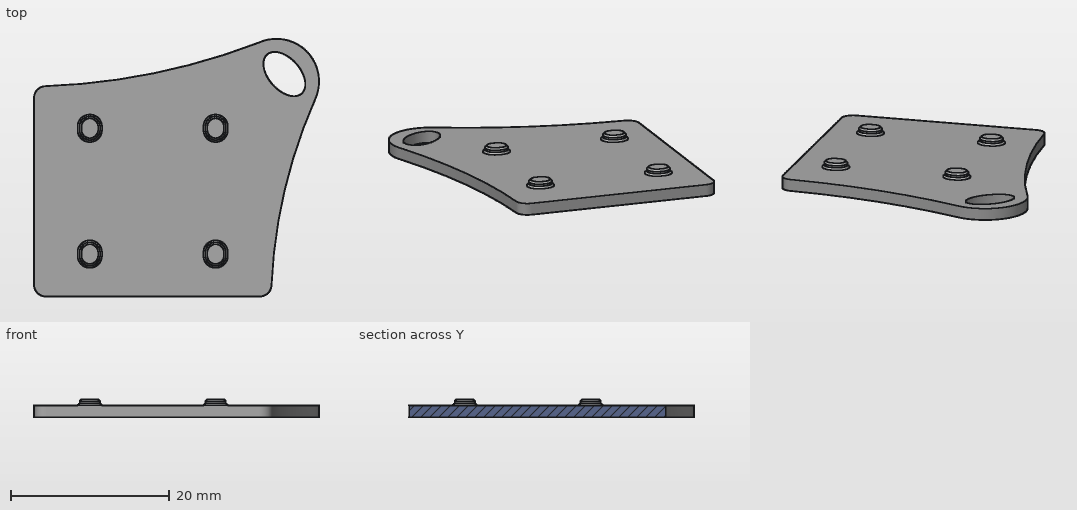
import cadquery as cq
import math

plate_width = 29.95
plate_depth = 26.55
plate_thickness = 1.5
corner_radius = 1.5

tab_x = 30.6
tab_y = 27.15
tab_radius = 5.4
tab_side_angle = 25.0
side_hollow = 1.25

hole_x = 31.6
hole_y = 28.08
hole_length = 6.55
hole_width = 3.95

stud_pitch = 15.88
first_stud_x = 7.05
first_stud_y = 5.35
stud_height = 0.8
stud_neck_width = 2.6
stud_neck_length = 3.0
stud_step = stud_height / 3
stud_slope_inset = 0.25


def hollow_midpoint(start, end, hollow):
    """Point on the left of the chord's middle, at the given distance from it."""
    dx = end[0] - start[0]
    dy = end[1] - start[1]
    chord = math.hypot(dx, dy)
    mid_x = (start[0] + end[0]) / 2
    mid_y = (start[1] + end[1]) / 2
    return (mid_x - hollow * dy / chord, mid_y + hollow * dx / chord)


def tab_point(angle):
    """Point on the rim of the tab at an angle in degrees from +X."""
    turn = math.radians(angle)
    return (tab_x + tab_radius * math.cos(turn), tab_y + tab_radius * math.sin(turn))


def make_plate():
    right_corner = (plate_width, 0)
    left_corner = (0, plate_depth)
    tab_right = tab_point(-tab_side_angle)
    tab_left = tab_point(90 + tab_side_angle)
    plate = (
        cq.Workplane("XY")
        .lineTo(*right_corner)
        .threePointArc(hollow_midpoint(right_corner, tab_right, side_hollow), tab_right)
        .threePointArc(tab_point(45), tab_left)
        .threePointArc(hollow_midpoint(tab_left, left_corner, side_hollow), left_corner)
        .close()
        .extrude(plate_thickness)
    )
    for corner in [(0, 0), right_corner, left_corner]:
        nearest = cq.selectors.NearestToPointSelector((*corner, plate_thickness / 2))
        plate = plate.edges("|Z").edges(nearest).fillet(corner_radius)
    return plate


def make_hole():
    diagonal_angle = math.degrees(math.atan2(plate_depth, plate_width))
    return (
        cq.Workplane("XY")
        .ellipse(hole_length / 2, hole_width / 2)
        .extrude(plate_thickness)
        .rotate((0, 0, 0), (0, 0, 1), diagonal_angle - 90)
        .translate((hole_x, hole_y, 0))
    )


def stud_layer(base_height, inset, taper):
    """One third of a stud, its outline grown by the inset and narrowing by the taper angle."""
    return (
        cq.Workplane("XY")
        .workplane(offset=base_height)
        .slot2D(stud_neck_length + 2 * inset, stud_neck_width + 2 * inset, 90)
        .extrude(stud_step, taper=taper)
    )


def make_stud():
    slope = math.degrees(math.atan2(stud_slope_inset, stud_step))
    foot = stud_layer(0, stud_slope_inset, slope)
    neck = stud_layer(stud_step, 0, 0)
    top = stud_layer(2 * stud_step, 0, slope)
    return foot.union(neck).union(top)


result = make_plate().cut(make_hole())
stud = make_stud()
for column in range(2):
    for row in range(2):
        stud_x = first_stud_x + column * stud_pitch
        stud_y = first_stud_y + row * stud_pitch
        result = result.union(stud.translate((stud_x, stud_y, plate_thickness)))